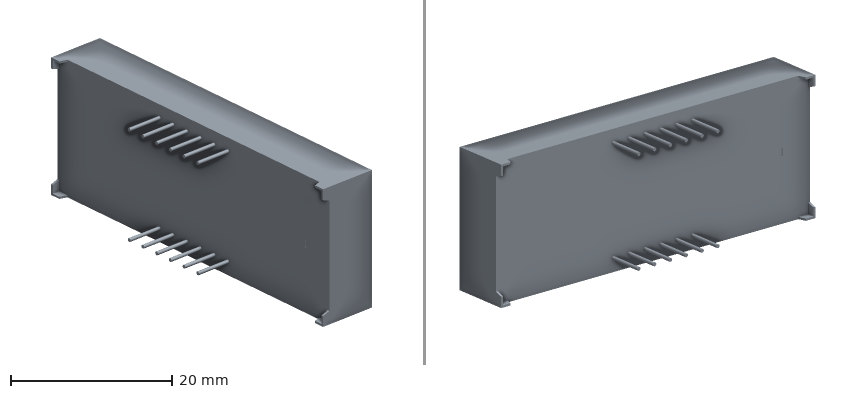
import cadquery as cq

length = 50.3
height = 19.0
total_depth = 12.1
pin_length = 5.05
body_depth = total_depth - pin_length

foot_height = 1.05
foot_wall = 0.3
leg_root = 1.85
leg_tip = 1.5

pin_diameter = 0.5
row_length = 12.7
pins_per_row = 6
row_spacing = 15.25
pin_pitch = row_length / (pins_per_row - 1)

groove_x = 20.65
groove_width = 0.1
groove_length = 1.1
groove_depth = 0.1


def make_body():
    return cq.Workplane("XY").box(length, body_depth, height).translate((0, body_depth / 2, 0))


def make_foot():
    """Foot at the -X, +Z corner, with one wall along X and one along Z."""
    left = -length / 2
    top = height / 2
    leg_along_x = (
        cq.Workplane("XY", origin=(0, 0, top - foot_wall))
        .moveTo(left, 0)
        .lineTo(left, -foot_height)
        .lineTo(left + leg_tip, -foot_height)
        .lineTo(left + leg_root, 0)
        .close()
        .extrude(foot_wall)
    )
    leg_along_z = (
        cq.Workplane("YZ", origin=(left, 0, 0))
        .moveTo(0, top)
        .lineTo(-foot_height, top)
        .lineTo(-foot_height, top - leg_tip)
        .lineTo(0, top - leg_root)
        .close()
        .extrude(foot_wall)
    )
    return leg_along_x.union(leg_along_z)


def make_feet():
    foot = make_foot()
    top_pair = foot.union(foot.mirror("YZ"))
    return top_pair.union(top_pair.mirror("XY"))


def make_pins():
    embed = 0.5
    return (
        cq.Workplane("XZ", origin=(0, embed, 0))
        .rarray(pin_pitch, row_spacing, pins_per_row, 2)
        .circle(pin_diameter / 2)
        .extrude(pin_length + embed)
    )


def make_groove():
    return (
        cq.Workplane("XZ", origin=(groove_x, groove_depth, 0))
        .rect(groove_width, groove_length)
        .extrude(groove_depth)
    )


result = make_body().union(make_feet()).union(make_pins()).cut(make_groove())